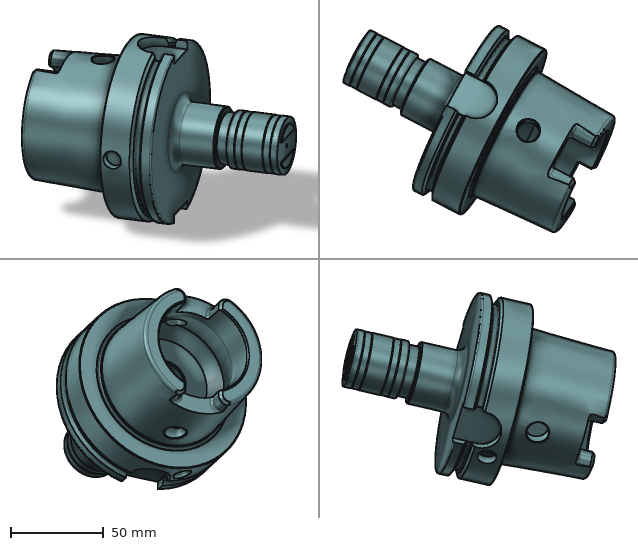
import cadquery as cq
import math


FLANGE_X = 50.0
TAPER_END_X = 47.5
TAPER_LARGE_R = 37.6
TAPER_SLOPE = 0.05
TAPER_SMALL_R = TAPER_LARGE_R - TAPER_SLOPE * TAPER_END_X
MOUTH_FILLET = 1.8
RELIEF_START_X = 48.3
RELIEF_END_X = 49.1
RELIEF_R = 37.2

FACE_RECESS_R = 39.6
FACE_RECESS_DEPTH = 0.5
FACE_RECESS_FILLET = 1.0

FLANGE_DIAMETER = 100.0
FLANGE_R = FLANGE_DIAMETER / 2
FLANGE_LENGTH = 29.0
FLANGE_END_X = FLANGE_X + FLANGE_LENGTH
FLANGE_FRONT_CHAMFER = 0.4
FLANGE_BACK_FILLET = 1.0

GROOVE_CENTER_X = 70.0
GROOVE_TOP_WIDTH = 6.5
GROOVE_FLOOR_WIDTH = 3.8
GROOVE_FLANK_DEPTH = 2.5
GROOVE_DEPTH = 4.2
GROOVE_FILLET = 0.7

HUB_R = 17.0
HUB_END_X = 103.8
HUB_ROOT_FILLET = 4.9
HUB_CHAMFER = 0.7
NECK_R = 14.3
NECK_RELIEF_WIDTH = 0.4
NECK_RELIEF_DEPTH = 0.3
NECK_END_X = 109.8

BORE_R = 26.5
BORE_CHAMFER = 0.8
CONE_START_X = 19.6
CONE_END_X = 39.7
CONE_R = 31.5
BORE_FLOOR_R = 24.6
BORE_FLOOR_X = CONE_END_X + CONE_R - BORE_FLOOR_R
TUBE_SEAT_R = 11.3
TUBE_SEAT_CHAMFER = 0.7
TUBE_SEAT_DEPTH = 9.8
COOLANT_R = 1.0
COUNTERSINK_R = 2.4

SLOT_WIDTH = 19.7
SLOT_HALF_WIDTH = SLOT_WIDTH / 2
SLOT_FLARE_R = 5.0
SLOT_FLARE_Z = 31.9
SLOT_FILLET = 1.5
SLOT_CHAMFER = 1.7
TOP_SLOT_DEPTH = 14.8
BOTTOM_SLOT_DEPTH = 9.8

ACCESS_X = 34.7
ACCESS_R = 6.0
ACCESS_CHAMFER = 0.4

KEYWAY_WIDTH = 21.8
KEYWAY_START_X = 55.1
KEYWAY_FLOOR_Z = 43.9
BLIND_HOLE_R = 5.0
BLIND_HOLE_DEPTH = 5.3
SIDE_HOLE_X = 57.0
SIDE_HOLE_ANGLE = 0.0
LOWER_HOLE_X = 58.8
LOWER_HOLE_ANGLE = 71.5

HEAD_R = 16.0
HEAD_END_X = 139.2
HEAD_BACK_FILLET = 1.1
HEAD_FRONT_CHAMFER_LENGTH = 0.8
HEAD_FRONT_CHAMFER_DROP = 0.1
BOSS_BASE_R = 12.3
BOSS_TIP_R = 12.0
BOSS_END_X = 139.9
BOSS_SLOT_WIDTH = 11.9

RING_GROOVE_STARTS = (114.5, 130.5)
RING_GROOVE_WIDTH = 4.6
RING_GROOVE_R = 14.5
RING_R = 15.8
RING_SIDE_GAP = 0.4


def turned(outline):
    """Revolve a closed outline of the XZ plane about the X axis."""
    return outline.close().revolve(360, (0, 0, 0), (1, 0, 0))


def rod(radius, start_x, end_x):
    return cq.Workplane("YZ").workplane(offset=start_x).circle(radius).extrude(end_x - start_x)


def tube(outer_r, inner_r, start_x, end_x):
    return rod(outer_r, start_x, end_x).cut(rod(inner_r, start_x, end_x))


def make_blank():
    """Shank, flange, hub and neck, still without the bore."""
    recess_x = FLANGE_X + FACE_RECESS_DEPTH
    fillet_x = recess_x - FACE_RECESS_FILLET
    fillet_top_r = TAPER_LARGE_R + FACE_RECESS_FILLET
    fillet_offset = FACE_RECESS_FILLET * (1 - math.sqrt(0.5))
    outline = (
        cq.Workplane("XZ")
        .moveTo(0, 0)
        .lineTo(0, TAPER_SMALL_R)
        .lineTo(TAPER_END_X, TAPER_LARGE_R)
        .lineTo(RELIEF_START_X, TAPER_LARGE_R)
        .lineTo(RELIEF_START_X, RELIEF_R)
        .lineTo(RELIEF_END_X, RELIEF_R)
        .lineTo(RELIEF_END_X, TAPER_LARGE_R)
        .lineTo(fillet_x, TAPER_LARGE_R)
        .threePointArc((recess_x - fillet_offset, TAPER_LARGE_R + fillet_offset), (recess_x, fillet_top_r))
        .lineTo(recess_x, FACE_RECESS_R)
        .lineTo(FLANGE_X, FACE_RECESS_R)
        .lineTo(FLANGE_X, FLANGE_R - FLANGE_FRONT_CHAMFER)
        .lineTo(FLANGE_X + FLANGE_FRONT_CHAMFER, FLANGE_R)
        .lineTo(FLANGE_END_X - FLANGE_BACK_FILLET, FLANGE_R)
        .radiusArc((FLANGE_END_X, FLANGE_R - FLANGE_BACK_FILLET), FLANGE_BACK_FILLET)
        .lineTo(FLANGE_END_X, HUB_R + HUB_ROOT_FILLET)
        .radiusArc((FLANGE_END_X + HUB_ROOT_FILLET, HUB_R), -HUB_ROOT_FILLET)
        .lineTo(HUB_END_X - HUB_CHAMFER, HUB_R)
        .lineTo(HUB_END_X, HUB_R - HUB_CHAMFER)
        .lineTo(HUB_END_X, NECK_R - NECK_RELIEF_DEPTH)
        .lineTo(HUB_END_X + NECK_RELIEF_WIDTH, NECK_R - NECK_RELIEF_DEPTH)
        .lineTo(HUB_END_X + NECK_RELIEF_WIDTH, NECK_R)
        .lineTo(NECK_END_X, NECK_R)
        .lineTo(NECK_END_X, 0)
    )
    return turned(outline)


def make_gripper_groove():
    top_half = GROOVE_TOP_WIDTH / 2
    floor_half = GROOVE_FLOOR_WIDTH / 2
    flank_r = FLANGE_R - GROOVE_FLANK_DEPTH
    floor_r = FLANGE_R - GROOVE_DEPTH
    outline = (
        cq.Workplane("XZ")
        .moveTo(GROOVE_CENTER_X - top_half, FLANGE_R)
        .lineTo(GROOVE_CENTER_X - floor_half, flank_r)
        .lineTo(GROOVE_CENTER_X - floor_half, floor_r + GROOVE_FILLET)
        .radiusArc((GROOVE_CENTER_X - floor_half + GROOVE_FILLET, floor_r), -GROOVE_FILLET)
        .lineTo(GROOVE_CENTER_X + floor_half - GROOVE_FILLET, floor_r)
        .radiusArc((GROOVE_CENTER_X + floor_half, floor_r + GROOVE_FILLET), -GROOVE_FILLET)
        .lineTo(GROOVE_CENTER_X + floor_half, flank_r)
        .lineTo(GROOVE_CENTER_X + top_half, FLANGE_R)
        .lineTo(GROOVE_CENTER_X + top_half, FLANGE_R + GROOVE_DEPTH)
        .lineTo(GROOVE_CENTER_X - top_half, FLANGE_R + GROOVE_DEPTH)
    )
    return turned(outline)


def make_bore():
    seat_floor_x = BORE_FLOOR_X + TUBE_SEAT_DEPTH
    countersink_depth = COUNTERSINK_R - COOLANT_R
    outline = (
        cq.Workplane("XZ")
        .moveTo(0, 0)
        .lineTo(0, BORE_R + BORE_CHAMFER)
        .lineTo(BORE_CHAMFER, BORE_R)
        .lineTo(CONE_START_X, BORE_R)
        .lineTo(CONE_END_X, CONE_R)
        .lineTo(BORE_FLOOR_X, BORE_FLOOR_R)
        .lineTo(BORE_FLOOR_X, TUBE_SEAT_R + TUBE_SEAT_CHAMFER)
        .lineTo(BORE_FLOOR_X + TUBE_SEAT_CHAMFER, TUBE_SEAT_R)
        .lineTo(seat_floor_x, TUBE_SEAT_R)
        .lineTo(seat_floor_x, COUNTERSINK_R)
        .lineTo(seat_floor_x + countersink_depth, COOLANT_R)
        .lineTo(NECK_END_X, COOLANT_R)
        .lineTo(NECK_END_X, 0)
    )
    return turned(outline)


def drive_slot_outline(base, widening):
    """Slot cross-section on the +Z side, its walls flaring outward in convex arcs."""
    half_width = SLOT_HALF_WIDTH + widening
    flare_r = SLOT_FLARE_R - widening
    flare_z = SLOT_FLARE_Z - widening
    flare_y = half_width + flare_r
    wall_top_z = flare_z - flare_r
    return (
        base.moveTo(-half_width, 0)
        .lineTo(-half_width, wall_top_z)
        .radiusArc((-flare_y, flare_z), -flare_r)
        .lineTo(-FLANGE_R, flare_z)
        .lineTo(-FLANGE_R, FLANGE_R)
        .lineTo(FLANGE_R, FLANGE_R)
        .lineTo(FLANGE_R, flare_z)
        .lineTo(flare_y, flare_z)
        .radiusArc((half_width, wall_top_z), -flare_r)
        .lineTo(half_width, 0)
        .close()
    )


def make_drive_slot(depth):
    """Cutter for a slot with a filleted floor and a chamfered mouth."""
    slot = drive_slot_outline(cq.Workplane("YZ"), 0).extrude(depth)
    slot = slot.faces(">X").edges().fillet(SLOT_FILLET)
    wide_end = drive_slot_outline(cq.Workplane("YZ"), SLOT_CHAMFER)
    mouth = drive_slot_outline(wide_end.workplane(offset=SLOT_CHAMFER), 0).loft(ruled=True)
    return slot.union(mouth)


def make_keyway():
    """Cutter for the round-ended keyway on the +Z side, open at the hub side of the flange."""
    end_r = KEYWAY_WIDTH / 2
    round_x = KEYWAY_START_X + end_r
    straight = FLANGE_END_X - round_x
    floor = cq.Workplane("XY", origin=(0, 0, KEYWAY_FLOOR_Z))
    height = FLANGE_R - KEYWAY_FLOOR_Z
    round_end = floor.center(round_x, 0).circle(end_r).extrude(height)
    channel = floor.center(round_x + straight / 2, 0).rect(straight, KEYWAY_WIDTH).extrude(height)
    return round_end.union(channel)


def make_blind_hole(center_x, angle):
    """Flat-floored radial hole; the angle turns it from -Y toward -Z."""
    hole = (
        cq.Workplane("XZ", origin=(center_x, -(FLANGE_R - BLIND_HOLE_DEPTH), 0))
        .circle(BLIND_HOLE_R)
        .extrude(2 * BLIND_HOLE_DEPTH)
    )
    return hole.rotate((0, 0, 0), (1, 0, 0), angle)


def make_access_hole():
    """Cutter for a hole across the shank along Z."""
    return cq.Workplane("XY", origin=(ACCESS_X, 0, -FLANGE_R)).circle(ACCESS_R).extrude(2 * FLANGE_R)


def access_rim_box(side):
    """Selects the outer rim of the access hole on the given side of the XY plane."""
    reach = 2 * ACCESS_R
    middle_of_wall_r = (CONE_R + TAPER_SMALL_R) / 2
    return cq.selectors.BoxSelector(
        (ACCESS_X - reach, -reach, side * middle_of_wall_r),
        (ACCESS_X + reach, reach, side * FLANGE_R),
    )


def make_arbor():
    arbor = make_blank().faces("<X").edges().fillet(MOUTH_FILLET)
    arbor = arbor.cut(make_gripper_groove()).cut(make_bore())
    for slot_depth, turn_angle in ((TOP_SLOT_DEPTH, 0), (BOTTOM_SLOT_DEPTH, 180)):
        side_cutters = make_drive_slot(slot_depth).union(make_keyway())
        arbor = arbor.cut(side_cutters.rotate((0, 0, 0), (1, 0, 0), turn_angle))
    arbor = arbor.cut(make_access_hole())
    arbor = arbor.cut(make_blind_hole(SIDE_HOLE_X, SIDE_HOLE_ANGLE))
    arbor = arbor.cut(make_blind_hole(LOWER_HOLE_X, LOWER_HOLE_ANGLE))
    rims = arbor.edges(access_rim_box(1)).add(arbor.edges(access_rim_box(-1)))
    return arbor.newObject(rims.vals()).chamfer(ACCESS_CHAMFER)


def make_head():
    """Cylindrical head with ring grooves, a slotted tapered boss and the coolant hole."""
    outline = (
        cq.Workplane("XZ")
        .moveTo(NECK_END_X, COOLANT_R)
        .lineTo(NECK_END_X, HEAD_R - HEAD_BACK_FILLET)
        .radiusArc((NECK_END_X + HEAD_BACK_FILLET, HEAD_R), HEAD_BACK_FILLET)
        .lineTo(HEAD_END_X - HEAD_FRONT_CHAMFER_LENGTH, HEAD_R)
        .lineTo(HEAD_END_X, HEAD_R - HEAD_FRONT_CHAMFER_DROP)
        .lineTo(HEAD_END_X, BOSS_BASE_R)
        .lineTo(BOSS_END_X, BOSS_TIP_R)
        .lineTo(BOSS_END_X, COOLANT_R)
    )
    head = turned(outline)
    for start_x in RING_GROOVE_STARTS:
        head = head.cut(tube(2 * HEAD_R, RING_GROOVE_R, start_x, start_x + RING_GROOVE_WIDTH))
    boss_length = BOSS_END_X - HEAD_END_X
    boss_slot = cq.Workplane("XY").box(boss_length, 2 * HEAD_R, BOSS_SLOT_WIDTH)
    return head.cut(boss_slot.translate((HEAD_END_X + boss_length / 2, 0, 0)))


def make_ring(groove_start_x):
    """Ring on the floor of a head groove, slightly below the head surface."""
    return tube(
        RING_R,
        RING_GROOVE_R,
        groove_start_x + RING_SIDE_GAP,
        groove_start_x + RING_GROOVE_WIDTH - RING_SIDE_GAP,
    )


arbor = make_arbor()
head = make_head()
rings = [make_ring(start_x).val() for start_x in RING_GROOVE_STARTS]
result = cq.Compound.makeCompound([arbor.val(), head.val(), *rings])